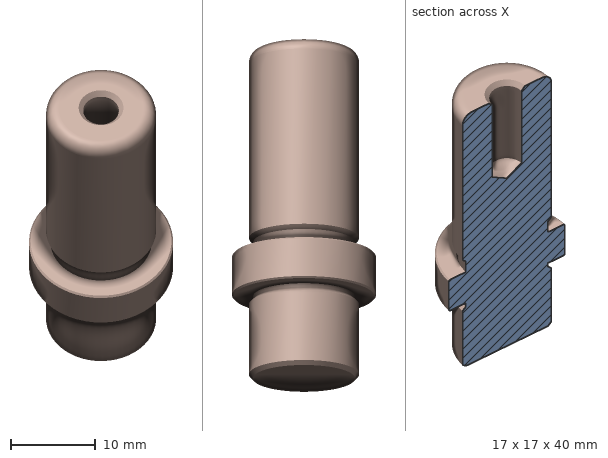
import cadquery as cq
import math

total_height = 40.0
shaft_radius = 13.0 / 2
collar_radius = 17.0 / 2

collar_bottom = 10.0
collar_top = 15.0
lower_shaft_top = 9.0
upper_shaft_bottom = 17.1

neck_radius = 12.0 / 2
groove_bevel = shaft_radius - neck_radius
collar_chamfer = 0.2
bottom_chamfer = 0.5
top_fillet = 1.5

hole_radius = 4.2 / 2
countersink_radius = 5.3 / 2
hole_depth = 12.0
drill_point_angle = 118.0


def cylinder(radius, bottom, top):
    return cq.Workplane("XY").workplane(offset=bottom).circle(radius).extrude(top - bottom)


def make_lower_shaft():
    shaft = cylinder(shaft_radius, 0, lower_shaft_top + groove_bevel)
    return shaft.faces("<Z").chamfer(bottom_chamfer).faces(">Z").chamfer(groove_bevel)


def make_upper_shaft():
    shaft = cylinder(shaft_radius, upper_shaft_bottom - groove_bevel, total_height)
    return shaft.faces("<Z").chamfer(groove_bevel).faces(">Z").fillet(top_fillet)


def make_collar():
    return cylinder(collar_radius, collar_bottom, collar_top).edges().chamfer(collar_chamfer)


def make_hole():
    """Countersunk blind hole with a conical drill point, revolved about Z."""
    hole_bottom = total_height - hole_depth
    point_length = hole_radius / math.tan(math.radians(drill_point_angle / 2))
    countersink_depth = countersink_radius - hole_radius
    return (
        cq.Workplane("XZ")
        .moveTo(0, total_height)
        .lineTo(countersink_radius, total_height)
        .lineTo(hole_radius, total_height - countersink_depth)
        .lineTo(hole_radius, hole_bottom)
        .lineTo(0, hole_bottom - point_length)
        .close()
        .revolve(360, (0, 0, 0), (0, 1, 0))
    )


neck = cylinder(neck_radius, lower_shaft_top, upper_shaft_bottom)
result = make_lower_shaft().union(neck).union(make_collar()).union(make_upper_shaft()).cut(make_hole())